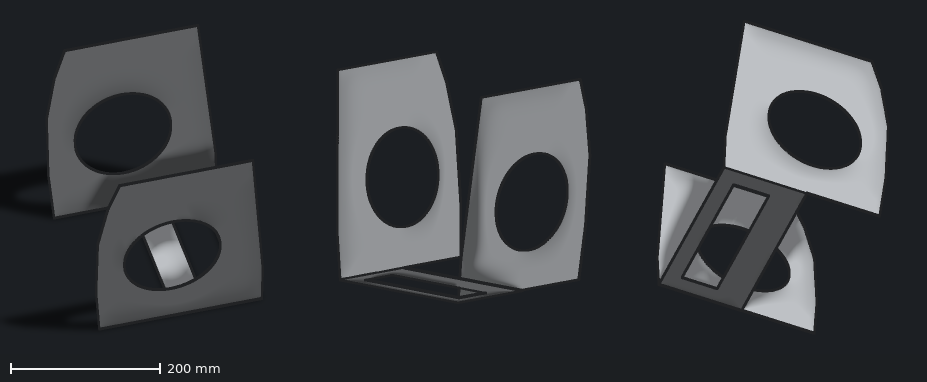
import cadquery as cq
import math

overall_width = 276.1
overall_depth = 232.0
overall_height = 281.0
sheet = 1.5
lean_angle = 5.0

base_depth = 120.2
window_width = 179.2
window_depth = 51.0
window_back_margin = 24.0

back_corner_height = 59.0
back_top_setback = 19.0
front_top_setback = 204.5
front_upper_setback = 219.7
front_upper_height = 237.0
front_middle_height = 171.5
front_lower_height = 73.5
front_bottom_setback = 226.0
hole_diameter = 133.7
hole_setback = 127.3
hole_height = 121.0

lean = math.radians(lean_angle)
panel_length = (overall_height - sheet) / math.cos(lean)
inner_half_width = overall_width / 2 - panel_length * math.sin(lean) - sheet * math.cos(lean)
back_y = overall_depth / 2


def make_base():
    plate = cq.Workplane("XY").box(2 * inner_half_width, base_depth, sheet, centered=(True, True, False))
    plate = plate.translate((0, back_y - base_depth / 2, 0))
    window_y = back_y - window_back_margin - window_depth / 2
    window = cq.Workplane("XY").center(0, window_y).rect(window_width, window_depth).extrude(sheet)
    return plate.cut(window)


def make_bend():
    """Right-hand bend: a sector about the inner corner joining base and panel."""
    def outer_point(angle):
        return (inner_half_width + sheet * math.sin(angle), sheet - sheet * math.cos(angle))

    bend_angle = math.pi / 2 - lean
    return (
        cq.Workplane("XZ", origin=(0, back_y, 0))
        .moveTo(inner_half_width, sheet)
        .lineTo(*outer_point(0))
        .threePointArc(outer_point(bend_angle / 2), outer_point(bend_angle))
        .close()
        .extrude(base_depth)
    )


def make_panel():
    """Right-hand panel, drawn upright on its inner face and then leaned outward."""
    outline = [
        (back_y, 0),
        (back_y, back_corner_height),
        (back_y - back_top_setback, panel_length),
        (back_y - front_top_setback, panel_length),
        (back_y - front_upper_setback, front_upper_height),
        (-back_y, front_middle_height),
        (-back_y, front_lower_height),
        (back_y - front_bottom_setback, 0),
    ]
    panel = cq.Workplane("YZ").polyline(outline).close().extrude(sheet)
    hole = (
        cq.Workplane("YZ")
        .center(back_y - hole_setback, hole_height)
        .circle(hole_diameter / 2)
        .extrude(sheet)
    )
    panel = panel.cut(hole).rotate((0, 0, 0), (0, 1, 0), lean_angle)
    return panel.translate((inner_half_width, 0, sheet))


right_side = make_bend().union(make_panel())
left_side = right_side.mirror("YZ")
result = make_base().union(right_side).union(left_side)